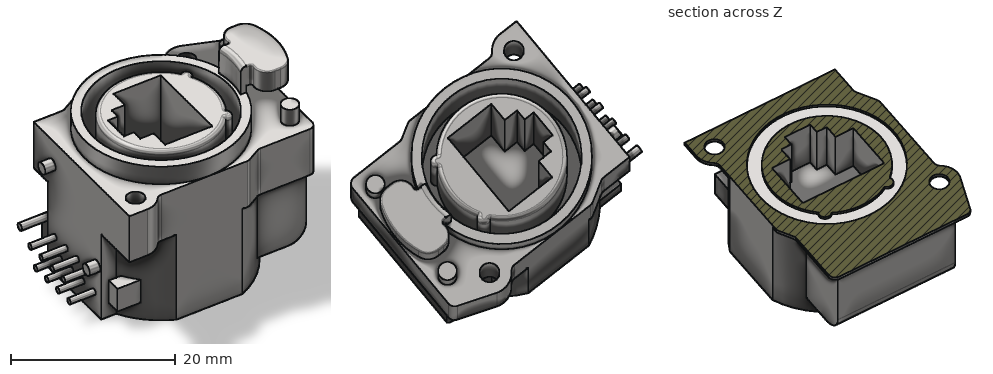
import cadquery as cq
import math

flange_bottom = 13.15
flange_top = 20.3
ring_top = 23.05
pad_bottom = 24.05
tab_top = 27.15
front_y = -12.45
back_y = 16.2

side_x = 11.0
front_left_x = -9.32
back_right_x = 9.75
hole_offset = 9.87
hole_radius = 1.2
ear_radius = 2.67
ear_slant = 20
shoulder_slant = 30
left_shoulder_y = -5.2
right_shoulder_y = 5.67
blend_radius = 0.98

housing_radius = 12.0
foot_width = 12.25
back_block_width = 17.07
back_block_y = 15.48
back_block_bottom = 2.38
back_block_round = 2.6

ring_radius = 10.98
ring_inner_radius = 9.7
core_radius = 7.95
core_round = 0.55
nub_radius = 0.8
nub_position_radius = 7.85
nub_angle = 35
groove_depth = 9.77

socket_back_y = 3.65
socket_steps = [(5.9, -3.13), (3.3, -5.05), (1.82, -6.48)]
socket_depth = 16.3

stem_inner_radius = 10.15
stem_half_width = 2.48
bend_radius = 0.78
pad_back_y = 16.55
pad_half_width = 5.02
pad_shoulder_x = 3.6
pad_shoulder_y = 15.9
pad_side_back_y = 13.98
pad_side_front_y = 13.15
pad_front_radius = 1.8
pad_back_radius = 9.75
pad_edge_round = 0.15
neck_radius = 0.33

dowel_x = 6.97
dowel_y = 14.1
dowel_radius = 1.15
dowel_top = 22.8

pin_tip_y = -16.03
pin_radius = 0.42
pin_count = 8
pin_pitch = 1.27
pin_rows_z = (5.75, 3.23)
peg_radius = 0.8
peg_tip_y = -13.95
peg_x = 5.08
peg_left_z = 16.55
peg_right_z = 7.65
long_pin_radius = 0.52
long_pin_x = -6.78
long_pin_z = 7.23
side_block_inner_x = 6.68
side_block_outer_x = 8.63
side_block_bottom = 2.6
side_block_top = 6.13
side_block_front_y = -11.7


def box_between(x0, x1, y0, y1, z0, z1):
    return cq.Workplane("XY").box(x1 - x0, y1 - y0, z1 - z0, centered=False).translate((x0, y0, z0))


def cylinder_between(x, y, radius, z0, z1):
    return cq.Workplane("XY", origin=(x, y, z0)).circle(radius).extrude(z1 - z0)


def front_pin(x, z, radius, tip_y):
    """Round pin along Y, rooted inside the housing."""
    return cq.Workplane("XZ", origin=(x, 0, z)).circle(radius).extrude(-tip_y)


def make_flange():
    height = flange_top - flange_bottom
    lean = math.tan(math.radians(shoulder_slant))
    slant = math.radians(ear_slant)
    tangent_x = -hole_offset - ear_radius * math.cos(slant)
    tangent_y = hole_offset + ear_radius * math.sin(slant)
    back_left_x = tangent_x + (back_y - tangent_y) * math.tan(slant)
    blend_dx = side_x + blend_radius - hole_offset
    blend_dy = math.sqrt((ear_radius + blend_radius) ** 2 - blend_dx ** 2)
    ear_share = ear_radius / (ear_radius + blend_radius)
    meet_x = hole_offset + blend_dx * ear_share
    meet_y = hole_offset - blend_dy * ear_share
    blend_end_y = hole_offset - blend_dy
    turn = math.atan2(blend_dy, blend_dx) / 2
    blend_mid_x = side_x + blend_radius * (1 - math.cos(turn))
    blend_mid_y = blend_end_y + blend_radius * math.sin(turn)
    ear_mid = ear_radius * math.sqrt(0.5)

    outline = (
        cq.Workplane("XY", origin=(0, 0, flange_bottom))
        .moveTo(front_left_x, front_y)
        .lineTo(hole_offset + ear_radius, front_y)
        .lineTo(hole_offset + ear_radius, -hole_offset)
        .threePointArc((hole_offset + ear_mid, ear_mid - hole_offset), (meet_x, -meet_y))
        .threePointArc((blend_mid_x, -blend_mid_y), (side_x, -blend_end_y))
        .lineTo(side_x, right_shoulder_y)
        .lineTo(back_right_x, right_shoulder_y + (side_x - back_right_x) / lean)
        .lineTo(back_right_x, back_y)
        .lineTo(back_left_x, back_y)
        .lineTo(tangent_x, tangent_y)
        .threePointArc((-hole_offset - ear_radius, hole_offset), (-meet_x, meet_y))
        .threePointArc((-blend_mid_x, blend_mid_y), (-side_x, blend_end_y))
        .lineTo(-side_x, left_shoulder_y)
        .lineTo(front_left_x, left_shoulder_y - (side_x + front_left_x) / lean)
        .close()
    )
    flange = outline.extrude(height)
    middle_z = (flange_bottom + flange_top) / 2
    rounded_corners = [
        (side_x, right_shoulder_y),
        (back_right_x, right_shoulder_y + (side_x - back_right_x) / lean),
        (back_right_x, back_y),
        (back_left_x, back_y),
        (-side_x, left_shoulder_y),
        (front_left_x, left_shoulder_y - (side_x + front_left_x) / lean),
    ]
    for x, y in rounded_corners:
        flange = flange.edges(cq.selectors.NearestToPointSelector((x, y, middle_z))).fillet(blend_radius)
    return flange


def make_housing():
    barrel = cylinder_between(0, 0, housing_radius, 0, flange_bottom)
    barrel = barrel.intersect(
        box_between(-side_x, side_x, -housing_radius, housing_radius, 0, flange_bottom)
    )
    foot = box_between(-foot_width / 2, foot_width / 2, front_y, 0, 0, flange_bottom)
    back_block = box_between(
        -back_block_width / 2, back_block_width / 2, 0, back_block_y, back_block_bottom, flange_bottom
    )
    back_block = back_block.edges(">Y and <Z").fillet(back_block_round)
    return barrel.union(foot).union(back_block)


def make_core():
    """Round plug inside the ring, with two keying nubs and a rounded rim."""
    bottom = ring_top - groove_depth
    core = cylinder_between(0, 0, core_radius, bottom, ring_top)
    for side in (-1, 1):
        angle = math.radians(90 + side * nub_angle)
        x = nub_position_radius * math.cos(angle)
        y = nub_position_radius * math.sin(angle)
        core = core.union(cylinder_between(x, y, nub_radius, bottom, ring_top))
    return core.faces(">Z").edges().fillet(core_round)


def make_socket():
    socket = None
    for half_width, step_y in socket_steps:
        step = box_between(
            -half_width, half_width, step_y, socket_back_y, ring_top - socket_depth, ring_top
        )
        socket = step if socket is None else socket.union(step)
    return socket


def make_stem():
    """Upright of the release tab: a slice of ring wall whose inner top edge is rounded."""
    wall = cylinder_between(0, 0, ring_radius, flange_top, tab_top)
    wall = wall.cut(cylinder_between(0, 0, stem_inner_radius, flange_top, tab_top))
    inner_edge = cq.selectors.RadiusNthSelector(0)
    wall = wall.faces(">Z").edges(inner_edge).fillet(bend_radius)
    return wall.intersect(
        box_between(-stem_half_width, stem_half_width, 0, ring_radius, flange_top, tab_top)
    )


def make_pad():
    """Thumb pad of the release tab; its neck meets the stem where the bend ends."""
    root_radius = stem_inner_radius + bend_radius
    root_y = math.sqrt(root_radius ** 2 - stem_half_width ** 2)
    reach = pad_front_radius + neck_radius
    reach_x = pad_half_width - stem_half_width - reach
    reach_y = math.sqrt(reach ** 2 - reach_x ** 2)
    neck_y = pad_side_front_y - reach_y
    neck_share = neck_radius / reach
    join_x = stem_half_width + neck_radius + reach_x * neck_share
    join_y = neck_y + reach_y * neck_share
    half_outline = (
        cq.Workplane("XY", origin=(0, 0, pad_bottom))
        .moveTo(0, root_radius)
        .radiusArc((stem_half_width, root_y), root_radius)
        .lineTo(stem_half_width, neck_y)
        .radiusArc((join_x, join_y), neck_radius)
        .radiusArc((pad_half_width, pad_side_front_y), -pad_front_radius)
        .lineTo(pad_half_width, pad_side_back_y)
        .tangentArcPoint((pad_shoulder_x, pad_shoulder_y), relative=False)
        .radiusArc((0, pad_back_y), -pad_back_radius)
    )
    pad = half_outline.mirrorY().extrude(tab_top - pad_bottom)
    rim = cq.selectors.BoxSelector(
        (-pad_half_width, neck_y, tab_top - pad_edge_round),
        (pad_half_width, pad_back_y, tab_top + pad_edge_round),
    )
    return pad.edges(rim).fillet(pad_edge_round)


def make_front_details():
    """Pegs, contact pins, ground pin and side blocks at the front wall."""
    details = front_pin(-peg_x, peg_left_z, peg_radius, peg_tip_y)
    details = details.union(front_pin(peg_x, peg_right_z, peg_radius, peg_tip_y))
    details = details.union(front_pin(long_pin_x, long_pin_z, long_pin_radius, pin_tip_y))
    for index in range(pin_count):
        x = (index - (pin_count - 1) / 2) * pin_pitch
        details = details.union(front_pin(x, pin_rows_z[index % 2], pin_radius, pin_tip_y))
    for x0 in (-side_block_outer_x, side_block_inner_x):
        x1 = x0 + side_block_outer_x - side_block_inner_x
        details = details.union(
            box_between(x0, x1, side_block_front_y, 0, side_block_bottom, side_block_top)
        )
    return details


result = make_flange().union(make_housing()).union(make_front_details())
result = result.union(cylinder_between(0, 0, ring_radius, flange_bottom, ring_top))
result = result.cut(cylinder_between(0, 0, ring_inner_radius, ring_top - groove_depth, ring_top))
result = result.union(make_core())
result = result.cut(make_socket())
result = result.union(make_stem()).union(make_pad())
for side in (-1, 1):
    result = result.union(
        cylinder_between(side * dowel_x, dowel_y, dowel_radius, flange_bottom, dowel_top)
    )
    result = result.cut(
        cylinder_between(side * hole_offset, -side * hole_offset, hole_radius, flange_bottom, flange_top)
    )